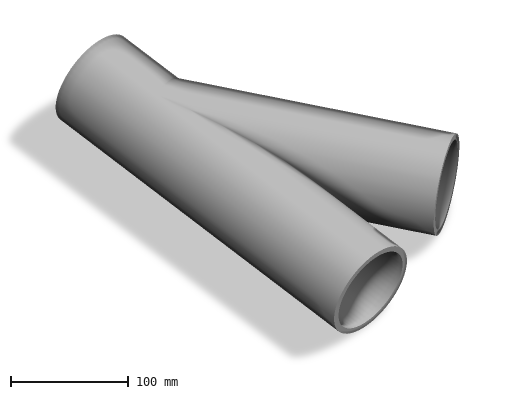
import cadquery as cq
import math

outer_diameter = 88.8
bore_diameter = 78.0

main_length = 330.2
inlet_length = 76.3
branch_length = 254.3
branch_angle = 30.0

axes_meet = cq.Vector(0, 0, 0)
main_start = cq.Vector(-inlet_length, 0, 0)
main_direction = cq.Vector(1, 0, 0)
branch_direction = cq.Vector(
    math.cos(math.radians(branch_angle)),
    math.sin(math.radians(branch_angle)),
    0,
)


def main_rod(diameter):
    """Solid rod along the full main run."""
    return cq.Workplane(
        cq.Solid.makeCylinder(diameter / 2, main_length, main_start, main_direction)
    )


def branch_rod(diameter):
    """Solid rod from the meeting point out to the branch end."""
    return cq.Workplane(
        cq.Solid.makeCylinder(diameter / 2, branch_length, axes_meet, branch_direction)
    )


body = main_rod(outer_diameter).union(branch_rod(outer_diameter))
result = body.cut(main_rod(bore_diameter)).cut(branch_rod(bore_diameter))